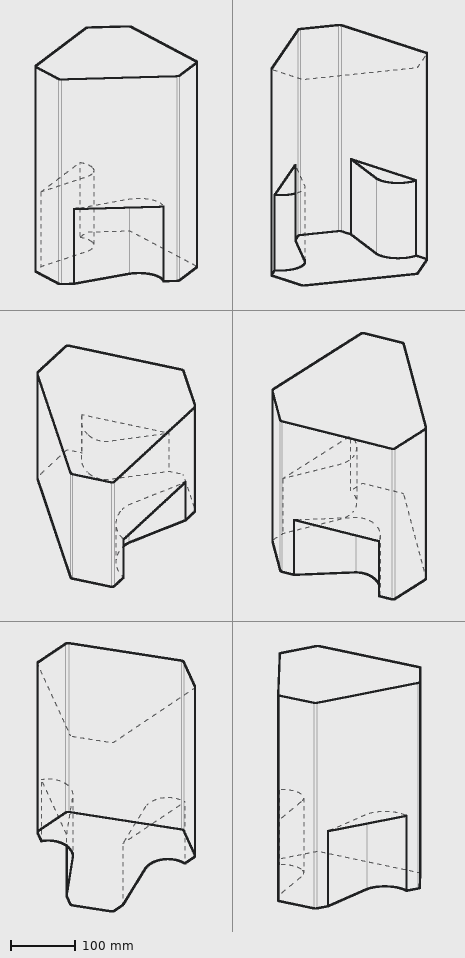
import cadquery as cq
import math

height = 342.5
depth = 220.2
short_side = 67.8
corner_radius = 5.0

pocket_height = 125.0
pocket_radius = 38.5
round_length = 50.5
pocket_length = 139.7
inward_shift = 0.7

long_apothem = (depth + short_side * math.sqrt(3) / 2) / 3
short_apothem = depth - long_apothem
long_side = 2 * (2 * short_apothem - long_apothem) / math.sqrt(3)


def make_body():
    corner_distance = math.hypot(long_apothem, long_side / 2)
    half_angle = math.degrees(math.atan2(long_side / 2, long_apothem))
    points = []
    for face_angle in (90, 210, 330):
        for angle in (face_angle - half_angle, face_angle + half_angle):
            turn = math.radians(angle)
            points.append((corner_distance * math.cos(turn), corner_distance * math.sin(turn)))
    body = cq.Workplane("XY").polyline(points).close().extrude(height)
    return body.edges("|Z").fillet(corner_radius)


def make_left_pocket():
    outer_end = inward_shift - pocket_length / 2
    center = outer_end + pocket_radius
    tip = outer_end + pocket_length
    wall_depth = math.sqrt(pocket_radius**2 - (round_length - pocket_radius) ** 2)
    wall_start = (outer_end + round_length, wall_depth)
    profile = (
        cq.Workplane("XY")
        .moveTo(outer_end, 0)
        .threePointArc((center, pocket_radius), wall_start)
        .lineTo(tip, 0)
        .close()
    )
    pocket = profile.extrude(pocket_height).translate((0, -long_apothem, 0))
    return pocket.rotate((0, 0, 0), (0, 0, 1), -60)


left_pocket = make_left_pocket()
right_pocket = left_pocket.mirror("YZ")
result = make_body().cut(left_pocket).cut(right_pocket)